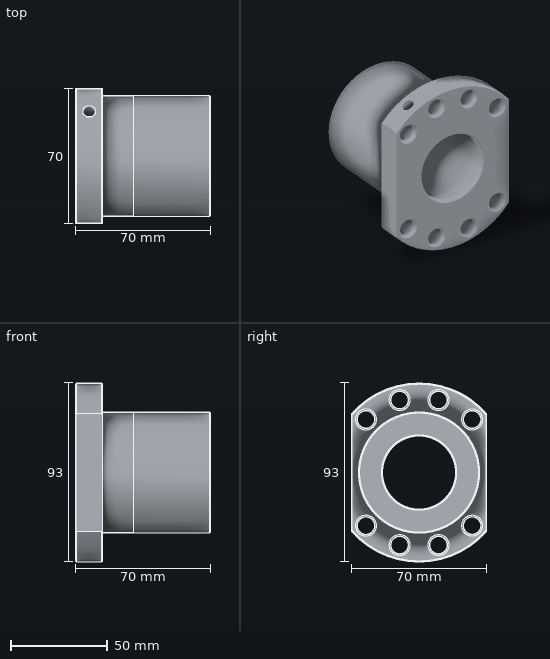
import cadquery as cq
import math

flange_diameter = 93.0
flange_width = 70.0
flange_thickness = 14.0
flange_chamfer = 0.6

total_length = 70.0
body_diameter = 63.0
neck_diameter = 62.8
neck_end = 30.0
body_chamfer = 0.6

bore_diameter = 38.0
bore_chamfer = 0.6

bolt_circle_diameter = 78.0
bolt_hole_diameter = 9.0
bolt_hole_chamfer = 0.9
bolt_angles = [15, 45]

oil_hole_diameter = 6.6
oil_hole_angle = 30
oil_hole_depth = 11.2


def cylinder(start, end, diameter):
    """Solid cylinder on the X axis between two X positions."""
    return cq.Workplane("YZ", origin=(start, 0, 0)).circle(diameter / 2).extrude(end - start)


def make_flange():
    disc = cylinder(0, flange_thickness, flange_diameter).edges().chamfer(flange_chamfer)
    flats = cq.Workplane("XY").box(2 * flange_thickness, flange_width, flange_diameter)
    return disc.intersect(flats)


def make_body():
    neck = cylinder(0, neck_end, neck_diameter)
    barrel = cylinder(neck_end, total_length, body_diameter).faces(">X").chamfer(body_chamfer)
    return neck.union(barrel)


def chamfered_hole(end, diameter, chamfer):
    """Cutter from X = 0 to end, chamfered at both mouths."""
    radius = diameter / 2
    mouth = radius + chamfer
    return (
        cq.Workplane("XY")
        .polyline([(0, 0), (0, mouth), (chamfer, radius), (end - chamfer, radius), (end, mouth), (end, 0)])
        .close()
        .revolve(360, (0, 0, 0), (1, 0, 0))
    )


def bolt_hole_centres():
    radius = bolt_circle_diameter / 2
    centres = []
    for angle in bolt_angles:
        y = radius * math.sin(math.radians(angle))
        z = radius * math.cos(math.radians(angle))
        centres += [(y, z), (-y, z), (y, -z), (-y, -z)]
    return centres


def oil_hole():
    floor = flange_diameter / 2 - oil_hole_depth
    return (
        cq.Workplane("XY", origin=(flange_thickness / 2, 0, floor))
        .circle(oil_hole_diameter / 2)
        .extrude(2 * oil_hole_depth)
        .rotate((0, 0, 0), (1, 0, 0), -oil_hole_angle)
    )


result = make_flange().union(make_body())
result = result.cut(chamfered_hole(total_length, bore_diameter, bore_chamfer))

bolt_hole = chamfered_hole(flange_thickness, bolt_hole_diameter, bolt_hole_chamfer)
for y, z in bolt_hole_centres():
    result = result.cut(bolt_hole.translate((0, y, z)))

result = result.cut(oil_hole())